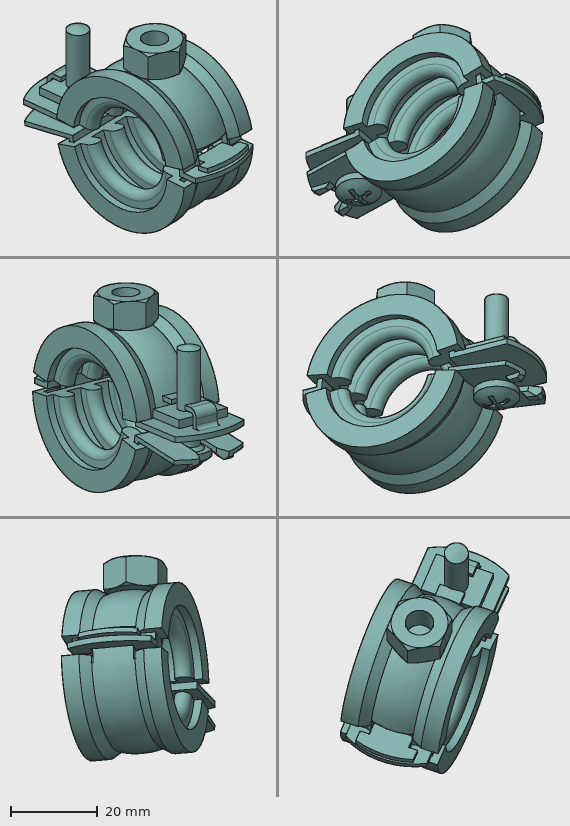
import cadquery as cq
import math


band_inner_radius = 16.55
band_outer_radius = 17.85
band_width = 20.05
bead_radius = 18.95
bead_half_width = 6.1
ear_tip_left = -34.05
ear_tip_right = 23.95
ear_end_sag = 2.6
ear_root = 17.1
upper_ear_thickness = 1.4
lower_ear_thickness = 1.15
lower_tilt = 8.0

hook_neck_width = 9.75
hook_width = 14.15
hook_neck_end = 19.85
window_width = 10.0
window_end = 19.6
window_height = 5.2
neck_height = 5.2
hinge_inner = 11.6

lining_radius = 19.65
lining_width = 24.0
lining_inner_radius = 14.4
rim_edge = 7.8
lip_edge = 5.15
lip_tip_radius = 18.15
bulb_radius = 2.05
bulb_centre_radius = 12.4
bulb_spacing = 8.0
hinge_end_angle = 11.0
screw_end_angle = 6.0

screw_x = -23.6
screw_diameter = 5.5
screw_radius = screw_diameter / 2
screw_tip = 19.65
screw_shoulder = 18.85
neck_top = -4.5
neck_base_radius = 3.65
head_top = -5.45
head_rim = -7.2
head_bottom = -9.15
head_radius = 5.35
drive_slot_width = 1.15
drive_slot_depth = 0.7

plate_length = 9.9
plate_width = 14.15
plate_bottom = 2.15
plate_thickness = 2.1
strap_width = 6.15
strap_outer_x = -30.35
strap_thickness = 1.2
strap_top = 6.2
strap_bend_radius = 2.15
strap_inner_bend_radius = 0.7
strap_foot_radius = 1.05
strap_gap = 5.05
strap_root = -17.0

fork_width = 5.7
fork_end_x = screw_x
fork_mouth_width = 8.95
fork_flare_x = -30.75
lug_height = 1.3
lug_bevel = 1.15
lug_start = -33.75
lug_end = -28.75
lug_inner_edge = 2.6
lug_outer_start = 6.25
lug_outer_end = 4.75

nut_flats = 13.1
nut_bottom = 18.85
nut_top = 26.0
nut_hole_radius = 3.25
nut_chamfer_angle = 30.0


def block(x_range, y_range, z_range):
    """Box between the given limits."""
    size = [high - low for low, high in (x_range, y_range, z_range)]
    corner = (x_range[0], y_range[0], z_range[0])
    return cq.Workplane("XY").box(*size, centered=False).translate(corner)


def turned_over_y(profile, angle):
    """Revolve a radius-Y profile from +X over +Z."""
    return profile.revolve(angle, (0, 0), (0, -1))


def band_ring(angle):
    half = band_width / 2
    profile = (
        cq.Workplane("XY")
        .moveTo(band_inner_radius, -half)
        .lineTo(band_outer_radius, -half)
        .lineTo(band_outer_radius, -bead_half_width)
        .threePointArc((bead_radius, 0), (band_outer_radius, bead_half_width))
        .lineTo(band_outer_radius, half)
        .lineTo(band_inner_radius, half)
        .close()
    )
    return turned_over_y(profile, angle)


def ear(tip_x, thickness):
    """Flat plate from the band's wall to a rounded tip."""
    half = band_width / 2
    side = math.copysign(1, tip_x)
    root_x = side * ear_root
    corner_x = tip_x - side * ear_end_sag
    return (
        cq.Workplane("XY")
        .moveTo(root_x, -half)
        .lineTo(corner_x, -half)
        .threePointArc((tip_x, 0), (corner_x, half))
        .lineTo(root_x, half)
        .close()
        .extrude(thickness)
    )


def half_band(ear_thickness):
    return (
        band_ring(180)
        .union(ear(ear_tip_left, ear_thickness))
        .union(ear(ear_tip_right, ear_thickness))
    )


def screw_hole():
    return cq.Workplane("XY").center(screw_x, 0).circle(screw_radius).extrude(screw_tip)


def strap():
    """Bridge bent up from the ear and over the nut plate, open around the screw."""
    foot_z = upper_ear_thickness
    inner_x = strap_outer_x + strap_thickness
    under_z = strap_top - strap_thickness
    bridge = (
        cq.Workplane("XZ")
        .moveTo(strap_outer_x - strap_foot_radius, foot_z)
        .radiusArc((strap_outer_x, foot_z + strap_foot_radius), -strap_foot_radius)
        .lineTo(strap_outer_x, strap_top - strap_bend_radius)
        .radiusArc((strap_outer_x + strap_bend_radius, strap_top), strap_bend_radius)
        .lineTo(strap_root, strap_top)
        .lineTo(strap_root, under_z)
        .lineTo(inner_x + strap_inner_bend_radius, under_z)
        .radiusArc((inner_x, under_z - strap_inner_bend_radius), -strap_inner_bend_radius)
        .lineTo(inner_x, foot_z)
        .close()
        .extrude(strap_width / 2, both=True)
    )
    gap = block(
        (screw_x - strap_gap / 2, screw_x + strap_gap / 2),
        (-strap_width, strap_width),
        (foot_z, strap_top),
    )
    return bridge.cut(gap)


def make_upper_band():
    window = block(
        (hinge_inner, window_end), (-window_width / 2, window_width / 2), (0, window_height)
    )
    band = half_band(upper_ear_thickness)
    return band.union(strap()).cut(window).cut(screw_hole())


def hook_sides():
    """Material beside the hook: deep along its neck, shallow along its wide end."""
    edge = band_width / 2
    neck = block((hinge_inner, hook_neck_end), (hook_neck_width / 2, edge), (0, neck_height))
    end = block((hook_neck_end, ear_tip_right), (hook_width / 2, edge), (0, lower_ear_thickness))
    side = neck.union(end)
    return side.union(side.mirror("XZ"))


def fork_slot():
    """Slot open at the ear's tip, with a round end at the screw and a flared mouth."""
    half = fork_width / 2
    mouth = fork_mouth_width / 2
    return (
        cq.Workplane("XY")
        .moveTo(ear_tip_left, -mouth)
        .lineTo(fork_flare_x, -half)
        .lineTo(fork_end_x, -half)
        .threePointArc((fork_end_x + half, 0), (fork_end_x, half))
        .lineTo(fork_flare_x, half)
        .lineTo(ear_tip_left, mouth)
        .close()
        .extrude(lower_ear_thickness + lug_height)
    )


def fork_lugs():
    """Bevelled lugs on both prongs that keep the screw head from slipping out."""
    base_z = lower_ear_thickness
    top_z = base_z + lug_height
    plan = (
        cq.Workplane("XY", origin=(0, 0, base_z))
        .polyline([
            (lug_start, lug_inner_edge),
            (lug_start, lug_outer_start),
            (lug_end, lug_outer_end),
            (lug_end, lug_inner_edge),
        ])
        .close()
        .extrude(lug_height)
    )
    end_bevels = (
        cq.Workplane("XZ")
        .polyline([
            (lug_start, base_z),
            (lug_start + lug_bevel, top_z),
            (lug_end - lug_bevel, top_z),
            (lug_end, base_z),
        ])
        .close()
        .extrude(-lug_outer_start)
    )
    inner_bevel = (
        cq.Workplane("YZ", origin=(lug_start, 0, 0))
        .polyline([
            (lug_inner_edge, base_z),
            (lug_inner_edge + lug_bevel, top_z),
            (lug_outer_start, top_z),
            (lug_outer_start, base_z),
        ])
        .close()
        .extrude(lug_end - lug_start)
    )
    lug = plan.intersect(end_bevels).intersect(inner_bevel).intersect(ear(ear_tip_left, top_z))
    return lug.union(lug.mirror("XZ"))


def swing_below(body):
    """Turn a body built as an upper half into the opened lower half."""
    return body.mirror("XY").rotate((0, 0, 0), (0, 1, 0), -lower_tilt)


def make_lower_band():
    band = half_band(lower_ear_thickness)
    band = band.cut(hook_sides()).union(fork_lugs()).cut(fork_slot())
    return swing_below(band)


def lining_bulb(centre_y):
    """Radius-Y profile of a round-nosed rib on the lining's inner face."""
    return (
        cq.Workplane("XY")
        .moveTo(lining_inner_radius, centre_y - bulb_radius)
        .lineTo(bulb_centre_radius, centre_y - bulb_radius)
        .threePointArc(
            (bulb_centre_radius - bulb_radius, centre_y),
            (bulb_centre_radius, centre_y + bulb_radius),
        )
        .lineTo(lining_inner_radius, centre_y + bulb_radius)
        .close()
    )


def make_upper_lining():
    edge = lining_width / 2
    wall = (
        cq.Workplane("XY")
        .moveTo(lining_inner_radius, -edge)
        .lineTo(lining_radius, -edge)
        .lineTo(lining_radius, -rim_edge)
        .lineTo(lip_tip_radius, -lip_edge)
        .lineTo(lip_tip_radius, lip_edge)
        .lineTo(lining_radius, rim_edge)
        .lineTo(lining_radius, edge)
        .lineTo(lining_inner_radius, edge)
        .close()
    )
    span = 180 - hinge_end_angle - screw_end_angle
    lining = turned_over_y(wall, span)
    for centre_y in (-bulb_spacing, 0, bulb_spacing):
        lining = lining.union(turned_over_y(lining_bulb(centre_y), span))
    lining = lining.rotate((0, 0, 0), (0, 1, 0), -hinge_end_angle)
    return lining.cut(band_ring(180))


def make_nut_plate():
    left_x = strap_outer_x + strap_thickness
    plate = block(
        (left_x, left_x + plate_length),
        (-plate_width / 2, plate_width / 2),
        (plate_bottom, plate_bottom + plate_thickness),
    )
    return plate.cut(screw_hole())


def make_screw():
    """Pan-head screw, head down, with a cross drive."""
    dome_height = head_rim - head_bottom
    dome_radius = (head_radius ** 2 + dome_height ** 2) / (2 * dome_height)
    body = (
        cq.Workplane("XZ")
        .moveTo(0, screw_tip)
        .lineTo(screw_radius, screw_shoulder)
        .lineTo(screw_radius, neck_top)
        .lineTo(neck_base_radius, head_top)
        .lineTo(head_radius, head_top)
        .lineTo(head_radius, head_rim)
        .radiusArc((0, head_bottom), dome_radius)
        .close()
        .revolve(360, (0, 0), (0, 1))
    )
    slot = block(
        (-head_radius, head_radius),
        (-drive_slot_width / 2, drive_slot_width / 2),
        (head_bottom, head_bottom + drive_slot_depth),
    )
    for turn in (0, 90):
        body = body.cut(slot.rotate((0, 0, 0), (0, 0, 1), turn))
    return body.translate((screw_x, 0, 0))


def make_connection_nut():
    """Hexagon nut chamfered at both ends, its underside shaped to the bead and the lining."""
    height = nut_top - nut_bottom
    corner_radius = nut_flats / math.sqrt(3)
    face_radius = nut_flats / 2
    drop = (corner_radius - face_radius) * math.tan(math.radians(nut_chamfer_angle))
    hexagon = cq.Workplane("XY").polygon(6, 2 * corner_radius).extrude(height)
    envelope = (
        cq.Workplane("XZ")
        .polyline([
            (0, 0),
            (face_radius, 0),
            (corner_radius, drop),
            (corner_radius, height - drop),
            (face_radius, height),
            (0, height),
        ])
        .close()
        .revolve(360, (0, 0), (0, 1))
    )
    hole = cq.Workplane("XY").circle(nut_hole_radius).extrude(height)
    nut = hexagon.intersect(envelope).cut(hole).translate((0, 0, nut_bottom))
    return nut.cut(band_ring(180)).cut(make_upper_lining())


upper_band = make_upper_band()
lower_band = make_lower_band()
upper_lining = make_upper_lining()
lower_lining = swing_below(upper_lining)
nut_plate = make_nut_plate()
screw = make_screw()
connection_nut = make_connection_nut()

bodies = [
    upper_band,
    lower_band,
    upper_lining,
    lower_lining,
    nut_plate,
    screw,
    connection_nut,
]
result = cq.Compound.makeCompound([body.solids().val() for body in bodies])